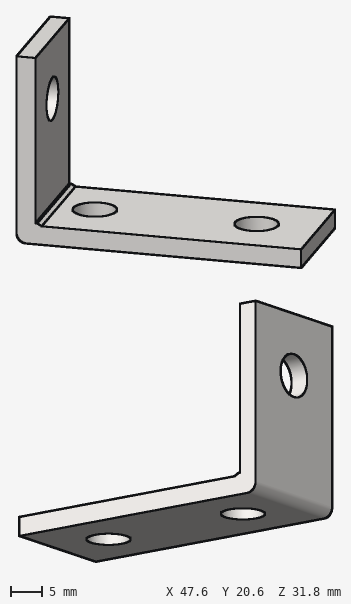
import cadquery as cq

length = 47.6
width = 20.6
height = 31.75
thickness = 3.2

outer_radius = 1.65
ledge_width = 0.3
bend_run = 1.05
bend_rise = 0.45

hole_diameter = 7.15
base_hole_positions = (10.3, 37.35)
wall_hole_height = 21.45


def bracket_body():
    """L-shaped strip with a rounded outer corner and a small ledge and slope at the inner corner."""
    profile = (
        cq.Workplane("XZ", origin=(0, width / 2, 0))
        .lineTo(length, 0)
        .lineTo(length, thickness)
        .lineTo(thickness + bend_run, thickness)
        .lineTo(thickness + ledge_width, thickness + bend_rise)
        .lineTo(thickness, thickness + bend_rise)
        .lineTo(thickness, height)
        .lineTo(0, height)
        .close()
    )
    outer_corner = cq.selectors.NearestToPointSelector((0, 0, 0))
    return profile.extrude(width).edges(outer_corner).fillet(outer_radius)


def base_holes():
    """Cylinders that cut the two holes through the base leg."""
    centers = [(x, 0) for x in base_hole_positions]
    return cq.Workplane("XY").pushPoints(centers).circle(hole_diameter / 2).extrude(thickness)


def wall_hole():
    """Cylinder that cuts the single hole through the upright leg."""
    return cq.Workplane("YZ").center(0, wall_hole_height).circle(hole_diameter / 2).extrude(thickness)


result = bracket_body().cut(base_holes()).cut(wall_hole())